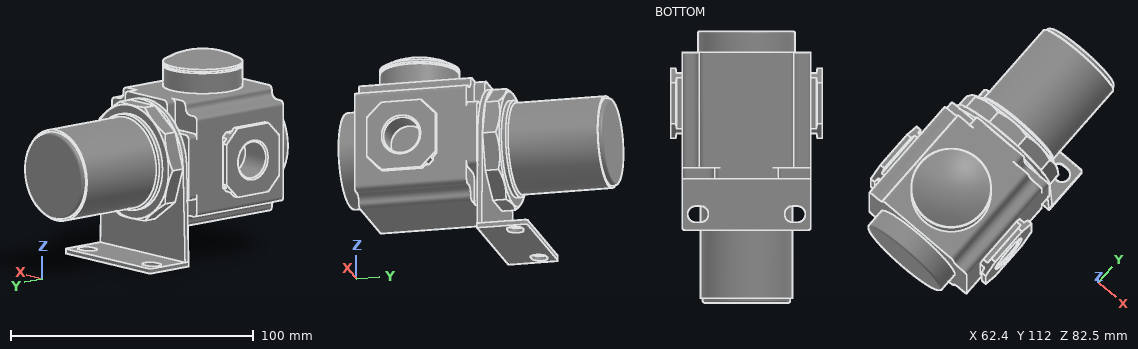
import cadquery as cq
import math


overall_length = 112.0

body_size = 53.0
body_half = body_size / 2
body_front = -21.0
recess_front = 26.5
body_back = 31.0
corner_land = 21.2
corner_wall = 19.4
recess_land = 13.9
recess_wall = 13.0
outer_round = 2.0
inner_round = 3.0

cap_radius = 20.0
cap_front = -29.7
cap_round = 0.9

dome_radius = 16.5
dome_top = 41.3
dome_edge = 36.6
groove_top = 35.7
groove_bottom = 35.0
groove_depth = 0.1

port_face = 31.2
port_size = 29.0
port_half = port_size / 2
port_corner = 6.0
port_rim = 2.1
port_slope = 0.3
port_groove = 2.0
port_bore_radius = 7.6
port_mouth_radius = 8.3
port_bore_depth = 13.4

plate = 2.0
bracket_bottom = -41.2
bracket_end = 52.3
bracket_radius = 25.2
foot_corner = 1.0
slot_width = 6.6
slot_length = 8.5
slot_outer_end = 24.2
slot_y = 45.7

nut_sides = 10
nut_radius = 25.1
nut_end = 39.8
nut_bevel_radius = 23.7
nut_bevel_length = 1.1
collar_radius = 20.0
collar_end = 41.5
neck_radius = 13.3
knob_start = 42.3
knob_radius = 19.0
knob_end = 80.3
knob_tip_radius = 18.1
knob_tip_end = cap_front + overall_length
knob_tip_round = 1.1

overlap = 1.1


def on_y(y):
    """Workplane facing +Y at the given Y, with local x = -X and local y = Z."""
    return cq.Workplane("XZ", origin=(0, y, 0)).transformed(rotate=(0, 180, 0))


def disc(radius, start, end):
    """Cylinder on the valve axis between two Y positions."""
    return on_y(start).circle(radius).extrude(end - start)


def corner_notch(wall, land, start, end):
    """Cutters that leave rounded stepped notches in all four long corners."""
    diagonal = math.sqrt(0.5)
    outer = outer_round
    inner = inner_round
    side = body_half
    beyond = body_half + overlap
    profile = (
        cq.Workplane("XZ", origin=(0, start, 0))
        .moveTo(wall - outer, side)
        .threePointArc(
            (wall - outer * (1 - diagonal), side - outer * (1 - diagonal)),
            (wall, side - outer),
        )
        .lineTo(wall, land + inner)
        .threePointArc(
            (wall + inner * (1 - diagonal), land + inner * (1 - diagonal)),
            (wall + inner, land),
        )
        .lineTo(side - outer, land)
        .threePointArc(
            (side - outer * (1 - diagonal), land - outer * (1 - diagonal)),
            (side, land - outer),
        )
        .lineTo(beyond, land - outer)
        .lineTo(beyond, beyond)
        .lineTo(wall - outer, beyond)
        .close()
    )
    notch = profile.extrude(start - end)
    pair = notch.union(notch.mirror("YZ"))
    return pair.union(pair.mirror("XY"))


def body():
    block = on_y(body_front).rect(body_size, body_size).extrude(body_back - body_front)
    block = block.cut(corner_notch(corner_wall, corner_land, body_front, body_back))
    return block.cut(corner_notch(recess_wall, recess_land, recess_front, body_back))


def front_cap():
    return disc(cap_radius, cap_front, body_front + overlap).faces("<Y").edges().fillet(cap_round)


def gauge_dome():
    rise = dome_top - dome_edge
    sphere_radius = (dome_radius**2 + rise**2) / (2 * rise)
    half_angle = math.asin(dome_radius / sphere_radius) / 2
    arc_middle = (
        sphere_radius * math.sin(half_angle),
        dome_top - sphere_radius * (1 - math.cos(half_angle)),
    )
    groove_radius = dome_radius - groove_depth
    return (
        cq.Workplane("XZ")
        .moveTo(0, body_half - overlap)
        .lineTo(dome_radius, body_half - overlap)
        .lineTo(dome_radius, groove_bottom)
        .lineTo(groove_radius, groove_bottom)
        .lineTo(groove_radius, groove_top)
        .lineTo(dome_radius, groove_top)
        .lineTo(dome_radius, dome_edge)
        .threePointArc(arc_middle, (0, dome_top))
        .close()
        .revolve(360, (0, 0, 0), (0, 1, 0))
    )


def port_boss():
    """Boss on the +X side: a square flange on a narrower neck, with cut corners."""
    neck_half = port_half - port_groove
    neck_start = body_half - overlap
    rim_back = port_face - port_rim
    neck = cq.Workplane("YZ", origin=(neck_start, 0, 0)).rect(2 * neck_half, 2 * neck_half)
    boss = neck.extrude(port_face - neck_start)
    flange = cq.Workplane("YZ", origin=(rim_back, 0, 0)).rect(port_size, port_size)
    boss = boss.union(flange.extrude(port_rim))
    slope = (
        cq.Workplane("YZ", origin=(rim_back - port_slope, 0, 0))
        .rect(2 * neck_half, 2 * neck_half)
        .workplane(offset=port_slope)
        .rect(port_size, port_size)
        .loft()
    )
    boss = boss.union(slope)
    octagon = (
        cq.Workplane("YZ", origin=(neck_start, 0, 0))
        .rect(port_size, port_size)
        .extrude(port_face - neck_start)
        .edges("|X")
        .chamfer(port_corner)
    )
    return boss.intersect(octagon)


def port_bore():
    """Blind bore with a bevelled mouth, entering from the +X side."""
    mouth_bevel = port_mouth_radius - port_bore_radius
    floor = port_face - port_bore_depth
    return (
        cq.Workplane("XY")
        .moveTo(floor, 0)
        .lineTo(floor, port_bore_radius)
        .lineTo(port_face - mouth_bevel, port_bore_radius)
        .lineTo(port_face, port_mouth_radius)
        .lineTo(port_face, 0)
        .close()
        .revolve(360, (0, 0, 0), (1, 0, 0))
    )


def bracket():
    corner_distance = math.hypot(body_half, bracket_bottom)
    tangent_angle = math.atan2(bracket_bottom, body_half) + math.acos(bracket_radius / corner_distance)
    tangent_x = bracket_radius * math.cos(tangent_angle)
    tangent_z = bracket_radius * math.sin(tangent_angle)
    upright = (
        on_y(body_back)
        .moveTo(-body_half, bracket_bottom)
        .lineTo(-tangent_x, tangent_z)
        .threePointArc((0, bracket_radius), (tangent_x, tangent_z))
        .lineTo(body_half, bracket_bottom)
        .close()
        .extrude(plate)
    )
    foot_length = bracket_end - body_back
    foot = (
        cq.Workplane("XY", origin=(0, body_back + foot_length / 2, bracket_bottom))
        .rect(body_size, foot_length)
        .extrude(plate)
        .edges("|Z and >Y")
        .fillet(foot_corner)
    )
    slot_x = slot_outer_end - slot_length / 2
    slots = (
        cq.Workplane("XY", origin=(0, 0, bracket_bottom))
        .pushPoints([(-slot_x, slot_y), (slot_x, slot_y)])
        .slot2D(slot_length, slot_width)
        .extrude(plate)
    )
    return upright.union(foot.cut(slots))


def panel_nut():
    """Ten-sided nut whose outer corners are turned down to a cone."""
    start = body_back + plate
    nut = on_y(start).polygon(nut_sides, 2 * nut_radius).extrude(nut_end - start)
    bevel_start = nut_end - nut_bevel_length
    envelope = (
        cq.Workplane("XY")
        .moveTo(0, start)
        .lineTo(nut_radius, start)
        .lineTo(nut_radius, bevel_start)
        .lineTo(nut_bevel_radius, nut_end)
        .lineTo(0, nut_end)
        .close()
        .revolve(360, (0, 0, 0), (0, 1, 0))
    )
    return nut.intersect(envelope)


def knob():
    collar = disc(collar_radius, nut_end, collar_end)
    neck = disc(neck_radius, body_back, knob_start)
    grip = disc(knob_radius, knob_start, knob_end)
    tip = disc(knob_tip_radius, knob_end, knob_tip_end).faces(">Y").edges().fillet(knob_tip_round)
    return collar.union(neck).union(grip).union(tip)


result = body().union(front_cap()).union(gauge_dome()).union(bracket()).union(panel_nut()).union(knob())
result = result.union(port_boss()).union(port_boss().mirror("YZ"))
result = result.cut(port_bore()).cut(port_bore().mirror("YZ"))